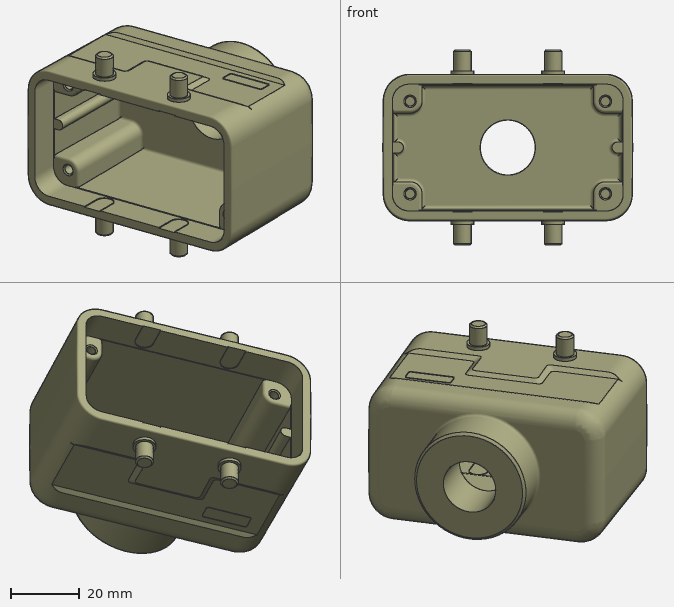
import cadquery as cq
import math

BODY_WIDTH = 73.0
BODY_HEIGHT = 42.8
BODY_DEPTH = 45.0
SIDE_CROWN = 0.2
DRAFT_ANGLE = 0.5
CORNER_RADIUS = 7.8
REAR_RADIUS = 5.0
RIM_RADIUS = 0.6
OVERLAP = 1.0

RIM_SIDE = 2.8
RIM_TOP = 2.9
MOUTH_DEPTH = 9.5
MOUTH_STEP = 0.25
POCKET_DRAFT_ANGLE = 0.7
REAR_WALL = 3.0
FLOOR_FILLET = 1.0
CAVITY_CORNER_RADIUS = CORNER_RADIUS - RIM_TOP

POST_X = 28.5
POST_Z = 13.5
POST_RADIUS = 3.5
POST_EDGE_FILLET = 0.9
SCREW_DIAMETER = 2.8
SCREW_MOUTH_DIAMETER = 3.6
SCREW_DEPTH = 12.0
RIB_X = 32.05
RIB_RADIUS = 1.6

BOSS_DIAMETER = 34.0
BOSS_LENGTH = 13.0
BOSS_CHAMFER = 0.8
BOSS_BASE_FILLET = 0.8
ENTRY_DIAMETER = 16.0

PIN_X = 13.25
PIN_Y = 6.2
PIN_DIAMETER = 5.2
PIN_TIP_Z = 28.5
PIN_CHAMFER = 0.5
COLLAR_DIAMETER = 6.7
COLLAR_HEIGHT = 1.0
RELIEF_WIDTH = 5.5
RELIEF_DEPTH = 0.25

RECESS_FLOOR_Z = 20.2
RECESS_FRONT_Y = 14.65
RECESS_REAR_Y = 33.5
RECESS_SLOPE_RUN = 1.9
RECESS_END_X = BODY_WIDTH / 2 + OVERLAP
TONGUE_HALF_WIDTH = 11.7
TONGUE_REAR_Y = 24.8
TONGUE_CORNER_RADIUS = 1.2
BEVEL_START_X = 32.0
BEVEL_SLOPE = 0.45

FRAME_X = 20.95
FRAME_Y = 29.35
FRAME_WIDTH = 13.9
FRAME_HEIGHT = 4.4
FRAME_CORNER_RADIUS = 0.7
FRAME_DEPTH = 0.2

POCKET_WIDTH = BODY_WIDTH - 2 * (RIM_SIDE + MOUTH_STEP)
POCKET_HEIGHT = BODY_HEIGHT - 2 * (RIM_TOP + MOUTH_STEP)
POCKET_FLOOR_Y = BODY_DEPTH - REAR_WALL
POCKET_DEPTH = POCKET_FLOOR_Y - MOUTH_DEPTH


def section_at(y):
    """XZ workplane at depth y whose extrusions run toward +Y; local y points to -Z."""
    return cq.Workplane(cq.Plane(origin=(0, y, 0), xDir=(1, 0, 0), normal=(0, 1, 0)))


def both_broad_faces(top_feature):
    return top_feature.union(top_feature.mirror("XY"))


def make_shell():
    half_width = BODY_WIDTH / 2
    edge_half_width = half_width - SIDE_CROWN
    half_height = BODY_HEIGHT / 2
    shell = (
        section_at(0)
        .moveTo(-edge_half_width, half_height)
        .lineTo(edge_half_width, half_height)
        .lineTo(half_width, 0)
        .lineTo(edge_half_width, -half_height)
        .lineTo(-edge_half_width, -half_height)
        .lineTo(-half_width, 0)
        .close()
        .extrude(BODY_DEPTH, taper=DRAFT_ANGLE)
    )
    upper_corner_edges = cq.selectors.BoxSelector(
        (-BODY_WIDTH, 0, half_height / 2), (BODY_WIDTH, BODY_DEPTH, BODY_HEIGHT)
    )
    lower_corner_edges = cq.selectors.BoxSelector(
        (-BODY_WIDTH, 0, -BODY_HEIGHT), (BODY_WIDTH, BODY_DEPTH, -half_height / 2)
    )
    shell = shell.edges(upper_corner_edges + lower_corner_edges).edges("not(#Y)").fillet(CORNER_RADIUS)
    shell = shell.faces(">Y").edges().fillet(REAR_RADIUS)
    return shell.faces("<Y").edges().fillet(RIM_RADIUS)


def add_boss(shell):
    boss = (
        section_at(POCKET_FLOOR_Y)
        .circle(BOSS_DIAMETER / 2)
        .extrude(REAR_WALL + BOSS_LENGTH)
        .faces(">Y")
        .chamfer(BOSS_CHAMFER)
    )
    base_reach = BOSS_DIAMETER / 2 - OVERLAP
    base_edges = cq.selectors.BoxSelector(
        (-base_reach, BODY_DEPTH - OVERLAP, -BOSS_DIAMETER),
        (base_reach, BODY_DEPTH + OVERLAP / 2, BOSS_DIAMETER),
    )
    return shell.union(boss).edges(base_edges).fillet(BOSS_BASE_FILLET)


def make_post_keepout(x_sign, z_sign):
    """Solid corner block left standing in the pocket, with one rounded corner."""
    inner_x = POST_X - POST_RADIUS
    inner_z = POST_Z - POST_RADIUS
    outer_x = BODY_WIDTH / 2
    outer_z = BODY_HEIGHT / 2
    inner_edge = cq.selectors.NearestToPointSelector((x_sign * inner_x, MOUTH_DEPTH, z_sign * inner_z))
    return (
        section_at(MOUTH_DEPTH)
        .center(x_sign * (inner_x + outer_x) / 2, -z_sign * (inner_z + outer_z) / 2)
        .rect(outer_x - inner_x, outer_z - inner_z)
        .extrude(POCKET_DEPTH + OVERLAP)
        .edges("|Y")
        .edges(inner_edge)
        .fillet(POST_RADIUS)
    )


def make_rib_keepout(x_sign):
    end_x = BODY_WIDTH / 2
    round_end = section_at(MOUTH_DEPTH).center(x_sign * RIB_X, 0).circle(RIB_RADIUS)
    root = section_at(MOUTH_DEPTH).center(x_sign * (RIB_X + end_x) / 2, 0).rect(end_x - RIB_X, 2 * RIB_RADIUS)
    return round_end.extrude(POCKET_DEPTH + OVERLAP).union(root.extrude(POCKET_DEPTH + OVERLAP))


def make_cavity():
    mouth = (
        section_at(-OVERLAP)
        .rect(BODY_WIDTH - 2 * RIM_SIDE, BODY_HEIGHT - 2 * RIM_TOP)
        .extrude(MOUTH_DEPTH + OVERLAP)
        .edges("|Y")
        .fillet(CAVITY_CORNER_RADIUS)
    )
    pocket_outline = section_at(MOUTH_DEPTH).rect(POCKET_WIDTH, POCKET_HEIGHT)
    pocket = pocket_outline.extrude(POCKET_DEPTH, taper=POCKET_DRAFT_ANGLE)
    for x_sign in (-1, 1):
        pocket = pocket.cut(make_rib_keepout(x_sign))
        for z_sign in (-1, 1):
            pocket = pocket.cut(make_post_keepout(x_sign, z_sign))
    pocket = pocket.faces(">Y").edges().fillet(FLOOR_FILLET)
    return mouth.union(pocket)


def round_post_ends(part):
    """Round the free edges of the four post end faces."""
    reach = POST_RADIUS / 2
    arc_offset = POST_RADIUS * math.sqrt(0.5)
    for x in (-POST_X, POST_X):
        for z in (-POST_Z, POST_Z):
            arc_x = x - math.copysign(arc_offset, x)
            arc_z = z - math.copysign(arc_offset, z)
            end_arc = cq.selectors.BoxSelector(
                (arc_x - reach, MOUTH_DEPTH - reach, arc_z - reach),
                (arc_x + reach, MOUTH_DEPTH + reach, arc_z + reach),
            )
            part = part.edges(end_arc).fillet(POST_EDGE_FILLET)
    return part


def make_screw_holes():
    countersink = (SCREW_MOUTH_DIAMETER - SCREW_DIAMETER) / 2
    hole = (
        cq.Workplane("XY")
        .polyline([
            (0, MOUTH_DEPTH),
            (SCREW_MOUTH_DIAMETER / 2, MOUTH_DEPTH),
            (SCREW_DIAMETER / 2, MOUTH_DEPTH + countersink),
            (SCREW_DIAMETER / 2, MOUTH_DEPTH + SCREW_DEPTH),
            (0, MOUTH_DEPTH + SCREW_DEPTH),
        ])
        .close()
        .revolve(360, (0, 0, 0), (0, 1, 0))
    )
    holes = cq.Workplane("XY")
    for x in (-POST_X, POST_X):
        for z in (-POST_Z, POST_Z):
            holes = holes.add(hole.translate((x, 0, z)))
    return holes.combine()


def recess_outline(wp, spread):
    """Recess outline with a tongue-shaped notch; spread moves its front and rear edges outward."""
    front = RECESS_FRONT_Y - spread
    rear = RECESS_REAR_Y + spread
    tongue_rear = TONGUE_REAR_Y - spread
    tongue_x = TONGUE_HALF_WIDTH - spread
    r = TONGUE_CORNER_RADIUS
    return (
        wp.moveTo(-RECESS_END_X, rear)
        .lineTo(-RECESS_END_X, front)
        .lineTo(-tongue_x - r, front)
        .radiusArc((-tongue_x, front + r), -r)
        .lineTo(-tongue_x, tongue_rear - r)
        .radiusArc((-tongue_x + r, tongue_rear), r)
        .lineTo(tongue_x - r, tongue_rear)
        .radiusArc((tongue_x, tongue_rear - r), r)
        .lineTo(tongue_x, front + r)
        .radiusArc((tongue_x + r, front), -r)
        .lineTo(RECESS_END_X, front)
        .lineTo(RECESS_END_X, rear)
        .close()
    )


def make_recess():
    slope_height = BODY_HEIGHT / 2 - RECESS_FLOOR_Z
    floor_outline = recess_outline(cq.Workplane("XY").workplane(offset=RECESS_FLOOR_Z), 0)
    recess = recess_outline(floor_outline.workplane(offset=slope_height), RECESS_SLOPE_RUN).loft(ruled=True)
    bevel = (
        section_at(RECESS_FRONT_Y)
        .moveTo(BEVEL_START_X, -RECESS_FLOOR_Z)
        .lineTo(RECESS_END_X, -RECESS_FLOOR_Z)
        .lineTo(RECESS_END_X, -RECESS_FLOOR_Z + BEVEL_SLOPE * (RECESS_END_X - BEVEL_START_X))
        .close()
        .extrude(RECESS_REAR_Y - RECESS_FRONT_Y)
    )
    frame = (
        cq.Workplane("XY")
        .workplane(offset=RECESS_FLOOR_Z - FRAME_DEPTH)
        .center(FRAME_X, FRAME_Y)
        .rect(FRAME_WIDTH, FRAME_HEIGHT)
        .extrude(2 * FRAME_DEPTH)
        .edges("|Z")
        .fillet(FRAME_CORNER_RADIUS)
    )
    return recess.union(bevel).union(bevel.mirror("YZ")).union(frame)


def make_pins():
    base_z = BODY_HEIGHT / 2 - OVERLAP
    seats = cq.Workplane("XY").workplane(offset=base_z).pushPoints([(-PIN_X, PIN_Y), (PIN_X, PIN_Y)])
    pins = seats.circle(PIN_DIAMETER / 2).extrude(PIN_TIP_Z - base_z).faces(">Z").chamfer(PIN_CHAMFER)
    collars = seats.circle(COLLAR_DIAMETER / 2).extrude(OVERLAP + COLLAR_HEIGHT)
    return pins.union(collars)


def make_pin_reliefs():
    """Shallow round-ended channels in the mouth wall behind each pin."""
    mouth_z = BODY_HEIGHT / 2 - RIM_TOP
    seats = cq.Workplane("XY").workplane(offset=mouth_z - OVERLAP)
    height = OVERLAP + RELIEF_DEPTH
    round_ends = seats.pushPoints([(-PIN_X, PIN_Y), (PIN_X, PIN_Y)]).circle(RELIEF_WIDTH / 2).extrude(height)
    channels = (
        seats.pushPoints([(-PIN_X, PIN_Y / 2), (PIN_X, PIN_Y / 2)])
        .rect(RELIEF_WIDTH, PIN_Y)
        .extrude(height)
    )
    return round_ends.union(channels)


def make_entry_hole():
    length = REAR_WALL + BOSS_LENGTH + 2 * OVERLAP
    return section_at(POCKET_FLOOR_Y - OVERLAP).circle(ENTRY_DIAMETER / 2).extrude(length)


result = add_boss(make_shell())
result = result.cut(both_broad_faces(make_recess()))
result = round_post_ends(result.cut(make_cavity()))
result = result.cut(both_broad_faces(make_pin_reliefs()))
result = result.cut(make_screw_holes())
result = result.cut(make_entry_hole())
result = result.union(both_broad_faces(make_pins()))